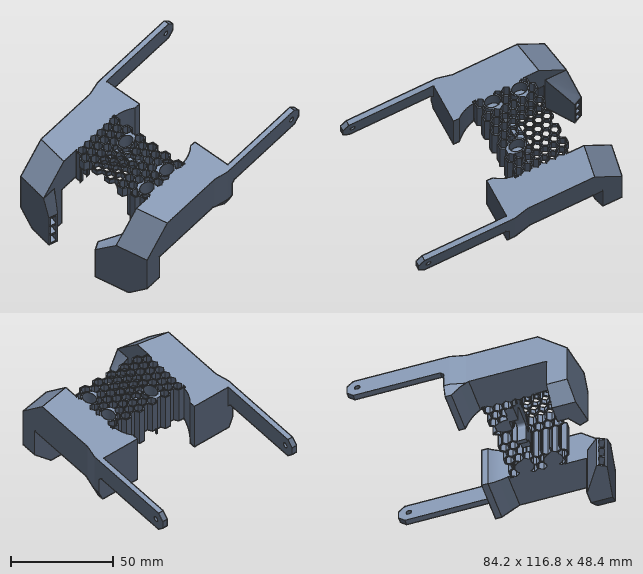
import cadquery as cq
import math


length = 116.8
half_width = 42.12
height = 48.4
body_depth = 21.5

arm_thickness = 2.9
arm_depth = 11.2
arm_end_chamfer = 3.3
arm_root_chamfer = 1.8
pivot_y = 111.5
pivot_diameter = 2.7

body_rear = 67.0
duct_outer = 40.3
duct_inner = 22.9
taper_rear = 63.7
taper_front = 55.9
lip_inner = 17.9
lip_front = taper_rear
throat_mid = (20.3, 59.7)
throat_end = (21.9, 53.8)
front_angle = math.radians(10)
nose_chamfer = 15.0
leg_rear = 14.5

foot_depth = 28.2
foot_front = taper_rear
foot_slope = [(59.0, 24.2), (54.6, body_depth)]
foot_edge_depth = 22.3
foot_edge_inset = 2.3

nozzle_top = 26.4
nozzle_face_y = 4.7
right_tip_x = 11.1
right_tip_rear_x = 8.9
right_root_rear = 13.9
right_base_chamfer = (10.3, 10.3)
left_tip_x = 18.8
left_tip_rear_x = 17.2
left_root_rear = 8.9
left_base_chamfer = (8.6, 8.3)
window_count = 3
window_bar = 1.2
window_width = 3.0
window_depth = 4.7

cell_pitch = 4.74
cell_wall = 0.7
cell_rows = 6
column_count = 11
deck_rear_row = 50.7
column_pitch = cell_pitch * math.sqrt(3) / 2

plate_left = -18.0
plate_right = 10.2
plate_front = 38.9
plate_thickness = 4.5
recess_clearance = 0.9
plate_shoulder = 6.3
crown_top = 2.9
crown_width = 16.6
crown_radius = 3.3
plate_center = -4.0
screw_spacing = 18.0
screw_depth = 10.2
screw_diameter = 2.7
slot_width = 12.5
slot_top = 10.4
slot_radius = 2.1
channel_left = -5.0
channel_right = 0.8
channel_top = 18.2
channel_ramp = 2.9
notch_top = 17.3
notch_left_bottom = 4.3
notch_left_top = 6.4

socket_size = (6.2, 8.2)
socket_wall = 0.76
socket_depth = 9.3
left_socket = (-8.0, 45.1)
right_sockets = [(18.6, 45.1), (18.6, 30.1)]
filled_cells = [(3, 0), (9, 1), (9, 4), (10, 1), (10, 4)]


def box(x0, x1, y0, y1, z0, z1):
    return cq.Workplane("XY").box(x1 - x0, y1 - y0, z1 - z0, centered=False).translate((x0, y0, z0))


def hinge_arm():
    """Side profile with chamfered end, extruded through the arm thickness."""
    c = arm_end_chamfer
    profile = [
        (taper_rear, 0), (length - c, 0), (length, -c), (length, c - arm_depth),
        (length - c, -arm_depth), (body_rear + arm_root_chamfer, -arm_depth),
        (body_rear, -arm_depth - arm_root_chamfer), (taper_rear, -arm_depth - arm_root_chamfer),
    ]
    arm = cq.Workplane("YZ").polyline(profile).close().extrude(arm_thickness)
    pivot = (
        cq.Workplane("YZ").center(pivot_y, -arm_depth / 2)
        .circle(pivot_diameter / 2).extrude(arm_thickness)
    )
    return arm.cut(pivot).translate((half_width - arm_thickness, 0, 0))


def plan(front_outer, front_inner, depth):
    """Duct body outline seen from above, extruded down from the top."""
    return (
        cq.Workplane("XY")
        .moveTo(half_width, body_rear)
        .lineTo(lip_inner, body_rear)
        .lineTo(lip_inner, lip_front)
        .threePointArc(throat_mid, throat_end)
        .lineTo(duct_inner, throat_end[1])
        .lineTo(duct_inner, front_inner)
        .lineTo(duct_outer, front_outer)
        .lineTo(duct_outer, taper_front)
        .lineTo(half_width, taper_rear)
        .close().extrude(-depth)
    )


def lean_section(y, edge_x, edge_depth):
    """Section removed outside the foot's leaning outer face."""
    beyond = half_width + foot_edge_inset
    corners = [
        (edge_x, y, -edge_depth), (beyond, y, -edge_depth),
        (beyond, y, -foot_depth), (edge_x - foot_edge_inset, y, -foot_depth),
    ]
    return cq.Wire.makePolygon([cq.Vector(*p) for p in corners], close=True)


def foot(outline):
    """Rear foot: follows the body outline, ramps up forwards, leans in outside."""
    profile = [(body_rear, -body_depth), (body_rear, -foot_depth), (foot_front, -foot_depth)]
    profile += [(y, -depth) for y, depth in foot_slope]
    ramp = cq.Workplane("YZ").polyline(profile).close().extrude(half_width)
    lean = cq.Solid.makeLoft(
        [
            lean_section(body_rear, half_width, foot_edge_depth),
            lean_section(foot_front, half_width, foot_edge_depth),
            lean_section(foot_slope[-1][0], duct_outer, body_depth),
        ],
        True,
    )
    return ramp.intersect(outline).cut(lean)


def section(front, rear, top):
    """Upright four-cornered wire between two plan points, from the given depth to the base."""
    corners = [(*front, -height), (*rear, -height), (*rear, -top), (*front, -top)]
    return cq.Wire.makePolygon([cq.Vector(*p) for p in corners], close=True)


def nozzle(tip_front, tip_rear, root_front, root_rear):
    """Tapering finger with a row of windows sunk in its end face."""
    root = section((duct_inner, root_front), (duct_inner, root_rear), nose_chamfer)
    tip = section(tip_front, tip_rear, nozzle_top)
    finger = cq.Workplane(cq.Solid.makeLoft([root, tip], True))
    across = cq.Vector(tip_rear[0] - tip_front[0], tip_rear[1] - tip_front[1], 0)
    middle = cq.Vector((tip_front[0] + tip_rear[0]) / 2, (tip_front[1] + tip_rear[1]) / 2, 0)
    window_pitch = (height - nozzle_top - window_bar) / window_count
    centers = [(0, -nozzle_top - window_bar / 2 - (i + 0.5) * window_pitch) for i in range(window_count)]
    face = cq.Plane(middle, across, across.cross(cq.Vector(0, 0, 1)))
    windows = (
        cq.Workplane(face).pushPoints(centers)
        .rect(window_width, window_pitch - window_bar)
        .extrude(window_depth, both=True)
    )
    return finger.cut(windows)


def side(tip_x, tip_rear_x, root_rear, base_chamfer):
    """One complete arm, built on the +X side."""
    slope = math.tan(front_angle)
    front_outer = (duct_outer - tip_x) * slope
    front_inner = (duct_inner - tip_x) * slope
    full = plan(front_outer, front_inner, height)
    body = full.intersect(box(0, half_width, 0, length, -body_depth, 0))
    leg = full.intersect(box(0, half_width, 0, leg_rear, -height, 0))
    chamfer_x, chamfer_z = base_chamfer
    leg = leg.cut(
        cq.Workplane("XZ")
        .polyline([
            (duct_outer, -height), (duct_outer - chamfer_x, -height),
            (duct_outer, chamfer_z - height),
        ])
        .close().extrude(-length)
    )
    nose_plane = cq.Plane(
        (duct_inner, front_inner, 0),
        (-math.sin(front_angle), math.cos(front_angle), 0),
        (math.cos(front_angle), math.sin(front_angle), 0),
    )
    nose_cut = (
        cq.Workplane(nose_plane)
        .polyline([(0, 0), (nose_chamfer, 0), (0, -nose_chamfer)])
        .close().extrude(half_width, both=True)
    )
    finger = nozzle((tip_x, 0), (tip_rear_x, nozzle_face_y), front_inner, root_rear)
    return body.union(leg).cut(nose_cut).union(foot(full)).union(finger).union(hinge_arm())


def cell_center(column, row):
    x = (column - (column_count - 1) / 2) * column_pitch
    stagger = (column % 2) / 2
    return x, deck_rear_row - (row + stagger) * cell_pitch


def deck_blank():
    """Solid deck whose front and rear edges follow the hexagonal cells."""
    half_flat = (cell_pitch + cell_wall) / 2
    corner = half_flat * 2 / math.sqrt(3)
    columns = cq.Workplane("XY")
    for column in range(column_count):
        x, rear = cell_center(column, 0)
        front = cell_center(column, cell_rows - 1)[1]
        outline = [
            (x - corner / 2, rear + half_flat), (x + corner / 2, rear + half_flat), (x + corner, rear),
            (x + corner, front), (x + corner / 2, front - half_flat), (x - corner / 2, front - half_flat),
            (x - corner, front), (x - corner, rear),
        ]
        columns = columns.union(cq.Workplane("XY").polyline(outline).close().extrude(-body_depth))
    return columns


def cells():
    """Hexagonal holes through the full deck depth."""
    centers = [
        cell_center(column, row)
        for column in range(column_count)
        for row in range(cell_rows)
        if (column, row) not in filled_cells
    ]
    corner_width = (cell_pitch - cell_wall) * 2 / math.sqrt(3)
    return cq.Workplane("XY").pushPoints(centers).polygon(6, corner_width).extrude(-body_depth)


def plate_outline(front, thickness, clearance=0.0):
    """Rectangle with a raised, round-cornered crown on top."""
    rear = front + thickness
    left = plate_left - clearance
    right = plate_right + clearance
    shoulder = box(left, right, front, rear, -body_depth, -plate_shoulder)
    crown_left = plate_center - crown_width / 2
    crown = box(crown_left, crown_left + crown_width, front, rear, -body_depth, -crown_top)
    return shoulder.union(crown.edges("|Y and >Z").fillet(crown_radius))


def mounting_plate():
    """Plate with two screw holes, a round-cornered slot and a notched lower corner."""
    plate = plate_outline(plate_front, plate_thickness)
    screws = (
        cq.Workplane("XZ", origin=(plate_center, 0, -screw_depth))
        .pushPoints([(-screw_spacing / 2, 0), (screw_spacing / 2, 0)])
        .circle(screw_diameter / 2).extrude(-length)
    )
    slot_left = plate_center - slot_width / 2
    slot = box(slot_left, slot_left + slot_width, 0, length, -body_depth, -slot_top)
    slot = slot.edges("|Y and >Z").fillet(slot_radius)
    notch = (
        cq.Workplane("XZ")
        .polyline([
            (notch_left_bottom, -body_depth), (notch_left_top, -notch_top),
            (plate_right, -notch_top), (plate_right, -body_depth),
        ])
        .close().extrude(-length)
    )
    return plate.cut(screws).cut(slot).cut(notch)


def sockets(centers, growth, depth):
    """Oval posts standing down from the top, widened by the given growth."""
    rx, ry = [size / 2 + growth for size in socket_size]
    return cq.Workplane("XY").pushPoints(centers).ellipse(rx, ry).extrude(-depth)


def cable_channel():
    """Groove under the rear of the deck whose roof ramps up towards the plate."""
    plate_rear = plate_front + plate_thickness
    profile = [
        (plate_rear, -body_depth), (plate_rear, channel_ramp - channel_top),
        (plate_rear + channel_ramp, -channel_top), (body_rear, -channel_top), (body_rear, -body_depth),
    ]
    groove = cq.Workplane("YZ").polyline(profile).close().extrude(channel_right - channel_left)
    return groove.translate((channel_left, 0, 0))


right_side = side(right_tip_x, right_tip_rear_x, right_root_rear, right_base_chamfer)
left_side = side(left_tip_x, left_tip_rear_x, left_root_rear, left_base_chamfer).mirror("YZ")

all_sockets = [left_socket] + right_sockets
plate_space = plate_outline(plate_front, plate_thickness)
recess = plate_outline(0, plate_front, recess_clearance).union(plate_space)
result = (
    right_side.union(left_side)
    .union(deck_blank())
    .cut(cells())
    .union(sockets(all_sockets, socket_wall, body_depth))
    .cut(recess)
    .cut(cable_channel())
    .union(mounting_plate())
    .cut(sockets(all_sockets, 0, socket_depth))
)